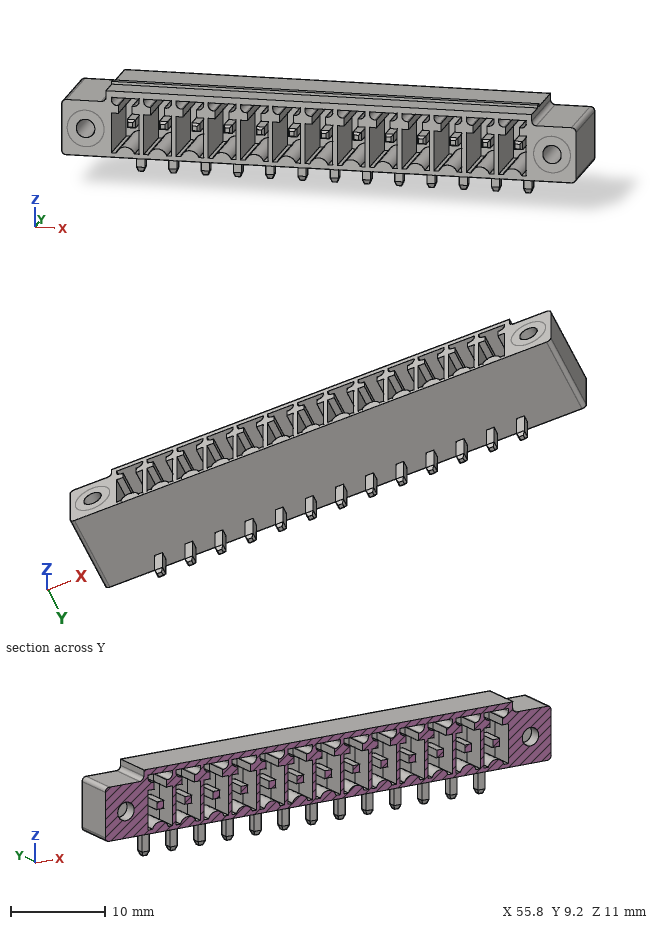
import cadquery as cq


position_count = 13
pitch = 3.5
housing_length = 55.8
housing_depth = 9.2
block_length = 46.2
block_height = 7.25
flange_height = 6.05
edge_radius = 0.5
front_y = -housing_depth / 2
back_y = housing_depth / 2

ridge_height = 0.3
ridge_width = 0.65
ridge_offset = 2.85

pocket_width = 3.0
pocket_depth = 7.2
pocket_floor = 0.5
pocket_top = 6.55
rib_bottom = 4.85
rib_top = 5.7
rib_gap = 1.5
slot_corner_radius = 0.6
hump_width = 2.0
hump_height = 0.7

contact_size = 0.9
contact_tip_size = 0.5
contact_tip_length = 0.5
axis_height = 3.0
contact_recess = 2.5
leg_inset = 1.25
leg_length = 3.4

insert_spacing = 50.6
insert_diameter = 4.0
insert_hole_diameter = 2.0
insert_depth = 6.0

row_points = [((i - (position_count - 1) / 2) * pitch, 0) for i in range(position_count)]
insert_points = [(-insert_spacing / 2, axis_height), (insert_spacing / 2, axis_height)]


def front_plane():
    """Sketch plane parallel to the mating face: local X is +X, local Y is +Z."""
    return cq.Workplane("XZ", origin=(0, front_y, 0))


def make_housing():
    half_length = housing_length / 2
    half_block = block_length / 2
    profile = (
        front_plane()
        .moveTo(-half_length, 0)
        .lineTo(half_length, 0)
        .lineTo(half_length, flange_height)
        .lineTo(half_block, flange_height)
        .lineTo(half_block, block_height)
        .lineTo(-half_block, block_height)
        .lineTo(-half_block, flange_height)
        .lineTo(-half_length, flange_height)
        .close()
        .extrude(-housing_depth)
    )
    flange_edges = cq.selectors.BoxSelector(
        (-housing_length, -housing_depth, -edge_radius),
        (housing_length, housing_depth, flange_height + edge_radius),
    )
    housing = profile.edges("|Y").edges(flange_edges).fillet(edge_radius)
    ridge = (
        cq.Workplane("XY", origin=(0, front_y + ridge_offset + ridge_width / 2, block_height))
        .rect(block_length, ridge_width)
        .extrude(ridge_height)
    )
    return housing.union(ridge)


def make_pocket():
    """Void of one position: main bay, neck between two ribs, and latch slot above them."""

    def bay(width, bottom, top):
        return (
            front_plane()
            .center(0, (bottom + top) / 2)
            .rect(width, top - bottom)
            .extrude(-pocket_depth)
        )

    hump = (
        front_plane()
        .moveTo(-hump_width / 2, pocket_floor)
        .threePointArc((0, pocket_floor + hump_height), (hump_width / 2, pocket_floor))
        .close()
        .extrude(-pocket_depth)
    )
    main_bay = bay(pocket_width, pocket_floor, rib_bottom).cut(hump)
    neck = bay(rib_gap, rib_bottom, rib_top)
    slot = bay(pocket_width, rib_top, pocket_top).edges("|Y and <Z").fillet(slot_corner_radius)
    return main_bay.union(neck).union(slot)


def make_bar(plane, straight_length):
    """Square bar that starts on the plane and ends in a tapered tip."""
    bar = plane.rect(contact_size, contact_size).extrude(straight_length)
    tip = (
        plane.workplane(offset=straight_length)
        .rect(contact_size, contact_size)
        .workplane(offset=contact_tip_length)
        .rect(contact_tip_size, contact_tip_size)
        .loft()
    )
    return bar.union(tip)


def make_contact():
    """Bent contact: a horizontal pin in the pocket and a solder leg below the housing."""
    leg_y = back_y - leg_inset
    pin_length = leg_y - front_y - contact_recess
    pin = make_bar(
        cq.Workplane("XZ", origin=(0, leg_y, axis_height)),
        pin_length - contact_tip_length,
    )
    leg = make_bar(
        cq.Workplane("XY", origin=(0, leg_y, axis_height)).transformed(rotate=(180, 0, 0)),
        axis_height + leg_length - contact_tip_length,
    )
    return pin.union(leg)


def repeat_along_row(feature):
    return cq.Workplane("XY").pushPoints(row_points).eachpoint(
        lambda location: feature.val().moved(location), combine=False
    )


def add_inserts(body):
    """Flush bushings in the flanges; the seam around each one stays in the face."""
    seats = front_plane().pushPoints(insert_points).circle(insert_diameter / 2).extrude(-insert_depth)
    holes = front_plane().pushPoints(insert_points).circle(insert_hole_diameter / 2).extrude(-insert_depth)
    return body.cut(seats).union(seats.cut(holes), clean=False)


housing_with_pockets = make_housing().cut(repeat_along_row(make_pocket()))
housing_with_contacts = housing_with_pockets.union(repeat_along_row(make_contact()))
result = add_inserts(housing_with_contacts)